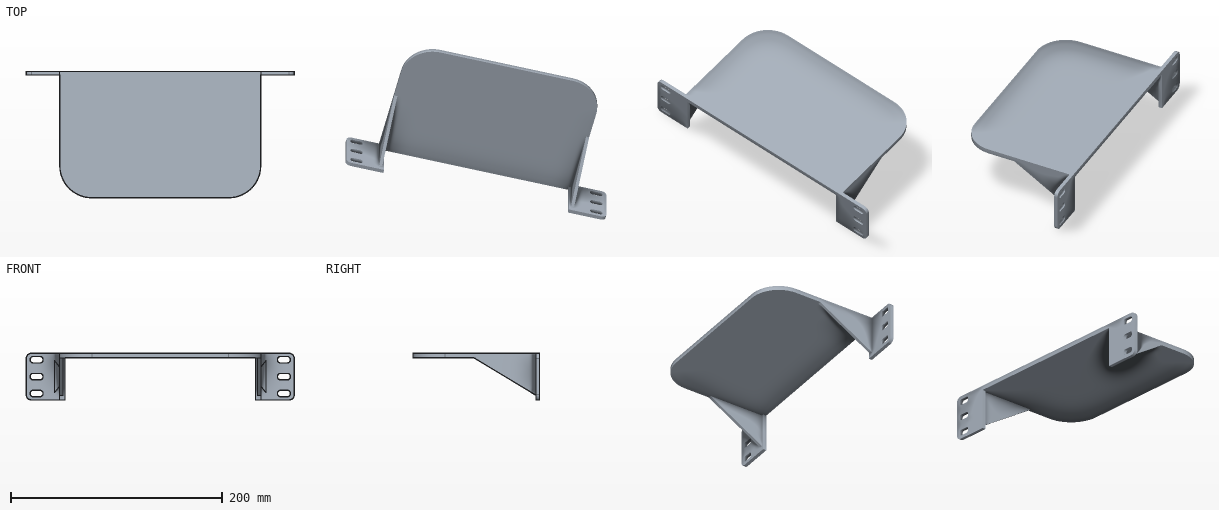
import cadquery as cq

total_width = 254.0
total_depth = 120.0
total_height = 44.5

plate_thickness = 3.5
shelf_width = 190.5
shelf_thickness = 4.5
shelf_corner_radius = 30.5
post_width = 5.0

gusset_thickness = 3.0
gusset_length = 66.3
gusset_height = 40.0

ear_corner_radius = 5.0
dovetail_depth = 4.8
dovetail_root_height = 18.0
dovetail_tip_height = 30.2
slot_length = 12.0
slot_height = 5.8
slot_corner_radius = 2.5
slot_edge_distance = 10.0
slot_pitch = 16.0
slot_count = 3

half_shelf = shelf_width / 2
half_total = total_width / 2
middle_z = -total_height / 2
sides = (-1, 1)


def upright_plate(outline):
    """Extrude an XZ outline rearward from the ear front face through the plate thickness."""
    return outline.extrude(-plate_thickness)


def dovetail(side):
    """Tongue that widens outward from the side of the shelf into an ear."""
    root_x = side * half_shelf
    tip_x = side * (half_shelf + dovetail_depth)
    outline = cq.Workplane("XZ").polyline([
        (root_x, middle_z - dovetail_root_height / 2),
        (tip_x, middle_z - dovetail_tip_height / 2),
        (tip_x, middle_z + dovetail_tip_height / 2),
        (root_x, middle_z + dovetail_root_height / 2),
    ]).close()
    return upright_plate(outline)


def post(side):
    """Vertical strip at one end of the shelf that carries the dovetail."""
    post_x = side * (half_shelf - post_width / 2)
    outline = cq.Workplane("XZ").center(post_x, middle_z).rect(post_width, total_height)
    return upright_plate(outline)


def gusset(side):
    """Triangular web, flush with the side and the top of the shelf."""
    outline = cq.Workplane("YZ", origin=(side * half_shelf, 0, 0)).polyline([
        (0, 0),
        (-gusset_length, 0),
        (0, -gusset_height),
    ]).close()
    return outline.extrude(-side * gusset_thickness)


def make_shelf():
    """Shelf with its gussets, posts and dovetails as one solid."""
    shelf = (
        cq.Workplane("XY")
        .box(shelf_width, total_depth, shelf_thickness)
        .edges("|Z and <Y")
        .fillet(shelf_corner_radius)
        .translate((0, plate_thickness - total_depth / 2, -shelf_thickness / 2))
    )
    for side in sides:
        shelf = shelf.union(gusset(side)).union(post(side)).union(dovetail(side))
    return shelf


def make_ear(side):
    """Mounting ear with rounded outer corners, a dovetail socket and a column of slots."""
    ear_width = half_total - half_shelf
    ear_x = side * (half_shelf + ear_width / 2)
    outline = cq.Workplane("XZ").center(ear_x, middle_z).rect(ear_width, total_height)
    outer_edges = "|Y and >X" if side > 0 else "|Y and <X"
    ear = upright_plate(outline).edges(outer_edges).fillet(ear_corner_radius)

    slot_outlines = (
        cq.Workplane("XZ")
        .center(side * (half_total - slot_edge_distance), middle_z)
        .rarray(2.5, slot_pitch, 1, slot_count)
        .rect(slot_length, slot_height)
    )
    slots = upright_plate(slot_outlines).edges("|Y").fillet(slot_corner_radius)
    return ear.cut(slots).cut(dovetail(side))


shelf = make_shelf()
ears = [make_ear(side) for side in sides]

result = cq.Compound.makeCompound([shelf.val(), *[ear.val() for ear in ears]])